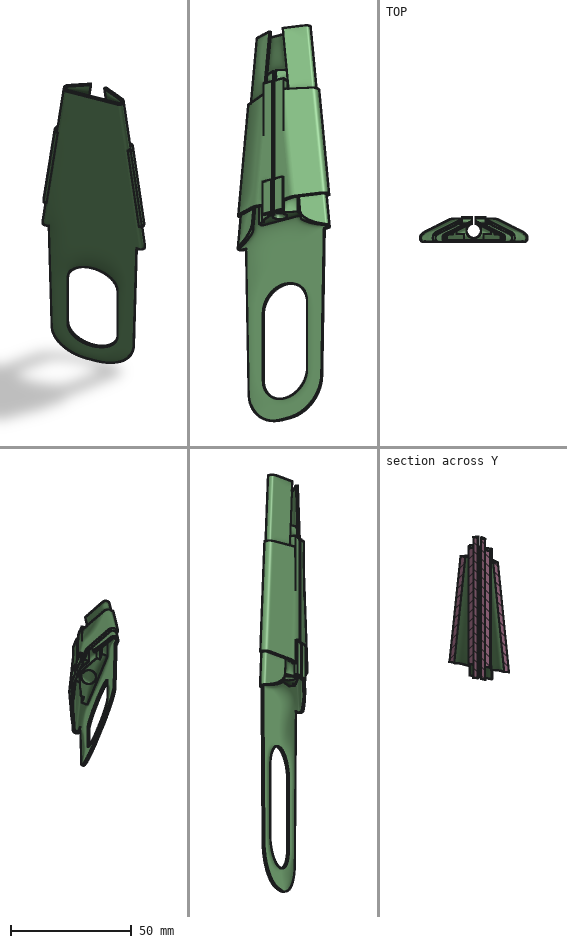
import cadquery as cq
import math

TOP_Z = 175.0
FOLD_BOTTOM_Z = 82.0
CLIP_TOP_Z = 145.5
CLIP_BOTTOM_Z = 96.5
BLOCK_TOP_Z = 150.2
PAD_TOP_Z = 105.2
INSERT_TOP_Z = 155.3
INSERT_BOTTOM_Z = 90.5

SHEET = 0.9
BEND_RADIUS = 1.8
TAPER = math.atan(0.1)
FLANGE_SLOPE = math.atan(0.5)
FLANGE_TIP_Y = 7.7
BEND_AXIS_TOP_X = 11.2
TIP_CORNER_RADIUS = 7.0

NECK_HALF_WIDTH = 19.0
END_HALF_WIDTH = 17.5
END_CORNER_RADIUS = 15.8
SLOT_WIDTH = 21.7
SLOT_BOTTOM_Z = 9.3
SLOT_TOP_Z = 61.3

CLIP_SHEET = 1.0
CLIP_LIP_Y = 0.4
CLIP_ROOF_Y = 9.8
ROOF_BEND_RADIUS = 5.3
BLOCK_HALF_WIDTH = 4.9
SLIT_HALF_WIDTH = 0.7
PAD_BOTTOM_Y = 9.3
PAD_TOP_Y = 10.5

HOLE_RADIUS = 3.0
HOLE_Y = 4.7
RIDGE_Y = 9.1
TOWER_HALF_WIDTH = 7.2
SHOULDER_HALF_WIDTH = 8.8
CORE_HALF_WIDTH = 4.0
BASE_HALF_WIDTH = 11.2
BASE_TOP_Y = 3.3
BASE_SETBACK = 1.8

SIN_SLOPE = math.sin(FLANGE_SLOPE)
COS_SLOPE = math.cos(FLANGE_SLOPE)
TAN_SLOPE = math.tan(FLANGE_SLOPE)
MARGIN = 8.8


def box(x0, x1, y0, y1, z0, z1):
    return cq.Workplane("XY").box(x1 - x0, y1 - y0, z1 - z0, centered=False).translate((x0, y0, z0))


def bend_axis_x(z):
    """Distance of the left bend axis from the centre plane at height z."""
    return BEND_AXIS_TOP_X + (TOP_Z - z) * math.tan(TAPER)


def fold_plane(z):
    """Plane square to the left bend axis; its x runs inward and its y is global Y."""
    return cq.Plane(
        origin=(-bend_axis_x(z), 0, z),
        xDir=(math.cos(TAPER), 0, -math.sin(TAPER)),
        normal=(math.sin(TAPER), 0, math.cos(TAPER)),
    )


def on_bend(radius, angle):
    """Point of the bend at an angle measured from the inward direction."""
    return (radius * math.cos(angle), BEND_RADIUS + radius * math.sin(angle))


def mirrored(half):
    return half.mirror("YZ")


FLANGE_START = math.pi / 2 + FLANGE_SLOPE


def left_fold():
    inner = BEND_RADIUS - SHEET
    outer_start = on_bend(BEND_RADIUS, FLANGE_START)
    inner_start = on_bend(inner, FLANGE_START)
    run = (FLANGE_TIP_Y - outer_start[1]) / SIN_SLOPE
    step = (run * COS_SLOPE, run * SIN_SLOPE)
    fold = (
        cq.Workplane(fold_plane(FOLD_BOTTOM_Z - MARGIN))
        .moveTo(0, 0)
        .threePointArc((-BEND_RADIUS, BEND_RADIUS), outer_start)
        .lineTo(outer_start[0] + step[0], outer_start[1] + step[1])
        .lineTo(inner_start[0] + step[0], inner_start[1] + step[1])
        .lineTo(*inner_start)
        .threePointArc((-inner, BEND_RADIUS), (0, SHEET))
        .close()
        .extrude((TOP_Z - FOLD_BOTTOM_Z + MARGIN) / math.cos(TAPER))
    )
    width = bend_axis_x(FOLD_BOTTOM_Z) + MARGIN
    envelope = (
        cq.Workplane("YZ")
        .moveTo(0, FOLD_BOTTOM_Z)
        .lineTo(FLANGE_TIP_Y - TIP_CORNER_RADIUS, FOLD_BOTTOM_Z)
        .radiusArc((FLANGE_TIP_Y, FOLD_BOTTOM_Z + TIP_CORNER_RADIUS), -TIP_CORNER_RADIUS)
        .lineTo(FLANGE_TIP_Y, TOP_Z)
        .lineTo(0, TOP_Z)
        .close()
        .extrude(-width)
    )
    return fold.intersect(envelope)


def plate():
    top_x = bend_axis_x(TOP_Z)
    bottom_x = bend_axis_x(FOLD_BOTTOM_Z)
    tapered = (
        cq.Workplane("XZ")
        .polyline([(-top_x, TOP_Z), (top_x, TOP_Z), (bottom_x, FOLD_BOTTOM_Z), (-bottom_x, FOLD_BOTTOM_Z)])
        .close()
        .extrude(-SHEET)
    )
    tongue = (
        cq.Workplane("XZ")
        .polyline([
            (-NECK_HALF_WIDTH, FOLD_BOTTOM_Z),
            (NECK_HALF_WIDTH, FOLD_BOTTOM_Z),
            (END_HALF_WIDTH, 0),
            (-END_HALF_WIDTH, 0),
        ])
        .close()
        .extrude(-SHEET)
        .edges("|Y and <Z")
        .fillet(END_CORNER_RADIUS)
    )
    slot = (
        cq.Workplane("XZ")
        .center(0, (SLOT_BOTTOM_Z + SLOT_TOP_Z) / 2)
        .slot2D(SLOT_TOP_Z - SLOT_BOTTOM_Z, SLOT_WIDTH, 90)
        .extrude(-SHEET)
    )
    return tapered.union(tongue).cut(slot)


def make_sheath():
    fold = left_fold()
    return plate().union(fold).union(mirrored(fold))


def slope_end(corner_x, corner_y, setback):
    """Point on the sloping wall at a distance of setback below its corner with the flat top."""
    return (corner_x - setback * COS_SLOPE, corner_y - setback * SIN_SLOPE)


def clip_wing():
    """Left clip wall: hooked round the fold, up its flange and flat across the top."""
    outer = BEND_RADIUS + CLIP_SHEET
    lip_drop = BEND_RADIUS - CLIP_LIP_Y
    outer_lip = math.pi + math.asin(lip_drop / outer)
    inner_lip = math.pi + math.asin(lip_drop / BEND_RADIUS)
    outer_start = on_bend(outer, FLANGE_START)
    inner_start = on_bend(BEND_RADIUS, FLANGE_START)
    inner_roof_y = CLIP_ROOF_Y - CLIP_SHEET
    outer_corner_x = outer_start[0] + (CLIP_ROOF_Y - outer_start[1]) / TAN_SLOPE
    inner_corner_x = inner_start[0] + (inner_roof_y - inner_start[1]) / TAN_SLOPE
    outer_setback = ROOF_BEND_RADIUS * math.tan(FLANGE_SLOPE / 2)
    inner_setback = (ROOF_BEND_RADIUS - CLIP_SHEET) * math.tan(FLANGE_SLOPE / 2)
    roof_end_x = bend_axis_x(CLIP_BOTTOM_Z)
    wing = (
        cq.Workplane(fold_plane(CLIP_BOTTOM_Z))
        .moveTo(*on_bend(outer, outer_lip))
        .threePointArc(on_bend(outer, (outer_lip + math.pi) / 2), on_bend(outer, math.pi))
        .threePointArc(on_bend(outer, (math.pi + FLANGE_START) / 2), outer_start)
        .lineTo(*slope_end(outer_corner_x, CLIP_ROOF_Y, outer_setback))
        .tangentArcPoint((outer_corner_x + outer_setback, CLIP_ROOF_Y), relative=False)
        .lineTo(roof_end_x, CLIP_ROOF_Y)
        .lineTo(roof_end_x, inner_roof_y)
        .lineTo(inner_corner_x + inner_setback, inner_roof_y)
        .tangentArcPoint(slope_end(inner_corner_x, inner_roof_y, inner_setback), relative=False)
        .lineTo(*inner_start)
        .threePointArc(on_bend(BEND_RADIUS, (inner_lip + FLANGE_START) / 2), on_bend(BEND_RADIUS, inner_lip))
        .close()
        .extrude(CLIP_TOP_Z - CLIP_BOTTOM_Z + MARGIN)
    )
    reach = bend_axis_x(CLIP_BOTTOM_Z) + MARGIN
    return wing.intersect(box(-reach, -BLOCK_HALF_WIDTH, 0, PAD_TOP_Y, 0, CLIP_TOP_Z))


def roof_y(x):
    """Height of the insert's sloping roof at a distance x from the centre plane."""
    return RIDGE_Y - x * TAN_SLOPE


def clip_block():
    """Bar beside the slit, resting on the roof of the insert."""
    return (
        cq.Workplane("XY", origin=(0, 0, CLIP_BOTTOM_Z))
        .polyline([
            (-SLIT_HALF_WIDTH, roof_y(SLIT_HALF_WIDTH)),
            (-SLIT_HALF_WIDTH, CLIP_ROOF_Y),
            (-BLOCK_HALF_WIDTH, CLIP_ROOF_Y),
            (-BLOCK_HALF_WIDTH, roof_y(BLOCK_HALF_WIDTH)),
        ])
        .close()
        .extrude(BLOCK_TOP_Z - CLIP_BOTTOM_Z)
    )


def clip_pad():
    return box(
        -BLOCK_HALF_WIDTH, -SLIT_HALF_WIDTH, PAD_BOTTOM_Y, PAD_TOP_Y, INSERT_BOTTOM_Z, PAD_TOP_Z
    )


def make_clip(side):
    """Clip half on the left (side -1) or on the right (side 1) of the slit."""
    half = clip_wing().union(clip_block()).union(clip_pad())
    return half if side < 0 else mirrored(half)


def gabled_bar(half_width, bottom_z, top_z):
    """Upright bar on the plate with a ridged roof."""
    eaves_y = roof_y(half_width)
    return (
        cq.Workplane("XY", origin=(0, 0, bottom_z))
        .polyline([
            (-half_width, SHEET),
            (half_width, SHEET),
            (half_width, eaves_y),
            (0, RIDGE_Y),
            (-half_width, eaves_y),
        ])
        .close()
        .extrude(top_z - bottom_z)
    )


def make_insert():
    base_top_z = INSERT_TOP_Z - BASE_SETBACK
    body = gabled_bar(TOWER_HALF_WIDTH, INSERT_BOTTOM_Z, INSERT_TOP_Z)
    body = body.union(gabled_bar(SHOULDER_HALF_WIDTH, INSERT_BOTTOM_Z, base_top_z))
    body = body.union(
        box(-BASE_HALF_WIDTH, BASE_HALF_WIDTH, SHEET, BASE_TOP_Y, INSERT_BOTTOM_Z, base_top_z)
    )
    for side in (-1, 1):
        step_x = sorted((side * CORE_HALF_WIDTH, side * BASE_HALF_WIDTH))
        body = body.cut(box(*step_x, SHEET, BASE_TOP_Y, base_top_z, INSERT_TOP_Z))
    hole = (
        cq.Workplane("XY", origin=(0, HOLE_Y, INSERT_BOTTOM_Z))
        .circle(HOLE_RADIUS)
        .extrude(INSERT_TOP_Z - INSERT_BOTTOM_Z)
    )
    slit = box(-SLIT_HALF_WIDTH, SLIT_HALF_WIDTH, HOLE_Y, RIDGE_Y, INSERT_BOTTOM_Z, INSERT_TOP_Z)
    return body.cut(hole).cut(slit)


sheath = make_sheath()
insert = make_insert()
clips = [make_clip(side) for side in (-1, 1)]

result = cq.Compound.makeCompound([body.solids().val() for body in (sheath, insert, *clips)])